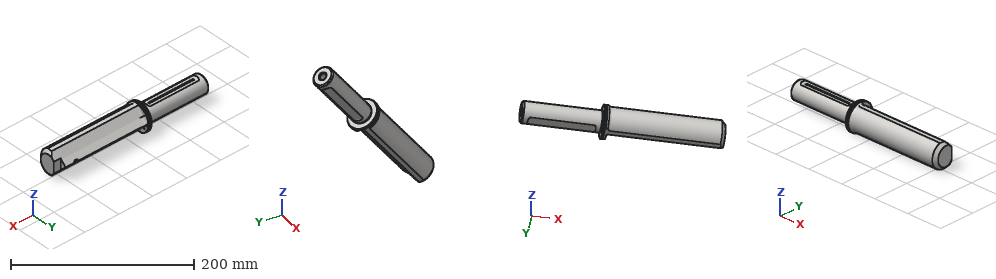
import cadquery as cq
import math

TOTAL_LENGTH = 225.0
RELIEF_START = 88.0
COLLAR_START = 89.8
COLLAR_GROOVE_START = 91.8
COLLAR_GROOVE_END = 92.5
COLLAR_END = 94.7
END_STEP_START = 215.0

SHANK_DIAMETER = 25.0
SHANK_RADIUS = SHANK_DIAMETER / 2
RELIEF_DEPTH = 0.5
COLLAR_DIAMETER = 38.0
COLLAR_RADIUS = COLLAR_DIAMETER / 2
COLLAR_CHAMFER = 0.7
COLLAR_GROOVE_DEPTH = 0.5
BODY_DIAMETER = 35.0
BODY_RADIUS = BODY_DIAMETER / 2
SHANK_CHAMFER = 1.5
BODY_CHAMFER = 4.5
SHOULDER_FILLET = 4.0

SHANK_ACROSS_FLATS = 22.3
SHANK_FLAT_HEIGHT = SHANK_ACROSS_FLATS / 2
SHANK_FLAT_START = 7.2
SHANK_FLAT_END = 82.8
SHANK_FLAT_RUNOUT = 3.4

BORE_RADIUS = 3.8
BORE_DEPTH = 77.6
BORE_CHAMFER = 1.24
SLOT_START = 12.2
SLOT_END = BORE_DEPTH
SLOT_WIDTH = 2.0

PASSAGE_RADIUS = 1.8
OUTLET_X = 201.0
OUTLET_ANGLE = 33.0

BODY_ACROSS_FLATS = 33.3
BODY_FLAT_HEIGHT = BODY_ACROSS_FLATS / 2
WEDGE_CREST_Y = 1.01
WEDGE_KNEE_Y = 9.7
WEDGE_KNEE_HEIGHT = 6.8
WEDGE_EDGE_Y = 17.3
WEDGE_START = 95.2
UPPER_FACE_FILLET = 2.0
LOWER_FACE_FILLET = 3.8

END_STEP_Y = 8.5

CLEARANCE = 22.5
EDGE_OVERRUN = 2.2
DIAGONAL = math.sqrt(0.5)
SHOULDER_HALF_TURN = math.pi / 8


def shoulder_profile(start, floor_height):
    """Open a 45 degree shoulder at the collar edge that blends by an arc into a level floor."""
    corner_x = COLLAR_END + COLLAR_RADIUS - floor_height
    tangent = SHOULDER_FILLET * math.tan(SHOULDER_HALF_TURN)
    arc_start = (corner_x - tangent * DIAGONAL, floor_height + tangent * DIAGONAL)
    arc_end = (corner_x + tangent, floor_height)
    arc_center_height = floor_height + SHOULDER_FILLET
    arc_middle = (
        arc_end[0] - SHOULDER_FILLET * math.sin(SHOULDER_HALF_TURN),
        arc_center_height - SHOULDER_FILLET * math.cos(SHOULDER_HALF_TURN),
    )
    return start.lineTo(*arc_start).threePointArc(arc_middle, arc_end)


def turned_blank():
    """Shank, relief, grooved collar and body as one revolved outline."""
    relief_radius = SHANK_RADIUS - RELIEF_DEPTH
    collar_edge = COLLAR_RADIUS - COLLAR_CHAMFER
    groove_radius = COLLAR_RADIUS - COLLAR_GROOVE_DEPTH
    outline = (
        cq.Workplane("XY")
        .lineTo(0, SHANK_RADIUS - SHANK_CHAMFER)
        .lineTo(SHANK_CHAMFER, SHANK_RADIUS)
        .lineTo(RELIEF_START, SHANK_RADIUS)
        .lineTo(RELIEF_START + RELIEF_DEPTH, relief_radius)
        .lineTo(COLLAR_START, relief_radius)
        .lineTo(COLLAR_START, collar_edge)
        .lineTo(COLLAR_START + COLLAR_CHAMFER, COLLAR_RADIUS)
        .lineTo(COLLAR_GROOVE_START, COLLAR_RADIUS)
        .lineTo(COLLAR_GROOVE_START, groove_radius)
        .lineTo(COLLAR_GROOVE_END, groove_radius)
        .lineTo(COLLAR_GROOVE_END, COLLAR_RADIUS)
        .lineTo(COLLAR_END, COLLAR_RADIUS)
    )
    outline = (
        shoulder_profile(outline, BODY_RADIUS)
        .lineTo(TOTAL_LENGTH - BODY_CHAMFER, BODY_RADIUS)
        .lineTo(TOTAL_LENGTH, BODY_RADIUS - BODY_CHAMFER)
        .lineTo(TOTAL_LENGTH, 0)
        .close()
    )
    return outline.revolve(360, (0, 0, 0), (1, 0, 0))


def shank_flat():
    """Cutter for the upper shank flat, with arc run-outs at both ends."""
    rise = SHANK_RADIUS - SHANK_FLAT_HEIGHT
    run = math.sqrt(SHANK_FLAT_RUNOUT**2 - (SHANK_FLAT_RUNOUT - rise) ** 2)
    return (
        cq.Workplane("XZ")
        .moveTo(SHANK_FLAT_START, SHANK_RADIUS)
        .radiusArc((SHANK_FLAT_START + run, SHANK_FLAT_HEIGHT), -SHANK_FLAT_RUNOUT)
        .lineTo(SHANK_FLAT_END - run, SHANK_FLAT_HEIGHT)
        .radiusArc((SHANK_FLAT_END, SHANK_RADIUS), -SHANK_FLAT_RUNOUT)
        .close()
        .extrude(SHANK_RADIUS, both=True)
    )


def bore():
    """Blind axial bore with a chamfered rim."""
    hole = cq.Workplane("YZ").circle(BORE_RADIUS).extrude(BORE_DEPTH)
    rim = cq.Solid.makeCone(
        BORE_RADIUS + BORE_CHAMFER, BORE_RADIUS, BORE_CHAMFER, dir=cq.Vector(1, 0, 0)
    )
    return hole.union(rim)


def bore_slot():
    """Opening from the upper flat down into the bore."""
    return cq.Workplane("XY").box(
        SLOT_END - SLOT_START, SLOT_WIDTH, SHANK_RADIUS, centered=(False, True, False)
    ).translate((SLOT_START, 0, 0))


def top_flat():
    """Cutter for the upper flat, blended into the collar by its own shoulder."""
    start = cq.Workplane("XZ").moveTo(COLLAR_END, COLLAR_RADIUS)
    return (
        shoulder_profile(start, BODY_FLAT_HEIGHT)
        .lineTo(TOTAL_LENGTH, BODY_FLAT_HEIGHT)
        .lineTo(TOTAL_LENGTH, COLLAR_RADIUS)
        .close()
        .extrude(COLLAR_RADIUS, both=True)
    )


def bottom_flat():
    """Cutter for the lower flat, which also trims the collar behind its groove."""
    return cq.Workplane("XY").box(
        TOTAL_LENGTH, 2 * COLLAR_RADIUS, CLEARANCE, centered=(False, True, False)
    ).translate((COLLAR_GROOVE_START, 0, -BODY_FLAT_HEIGHT - CLEARANCE))


def wedge_face(start, end, fillet, overrun=0):
    """Cutter above the slope from start to end, both (y, z), with a filleted wall at the collar.

    The cutter carries on past the end point by the overrun.
    """
    drop = start[1] - end[1]
    run = end[0] - start[0]
    width = math.hypot(run, drop)
    along_slope = (0, run / width, -drop / width)
    plane = cq.Plane(
        origin=(WEDGE_START, *start),
        xDir=(1, 0, 0),
        normal=tuple(-component for component in along_slope),
    )
    return (
        cq.Workplane(plane)
        .moveTo(0, CLEARANCE)
        .lineTo(0, fillet)
        .radiusArc((fillet, 0), -fillet)
        .lineTo(TOTAL_LENGTH - WEDGE_START, 0)
        .lineTo(TOTAL_LENGTH - WEDGE_START, CLEARANCE)
        .close()
        .extrude(-(width + overrun))
    )


def wedge_sides():
    """Cutters for the upper and lower halves of the wedge, mirrored about mid-height."""
    crest = (WEDGE_CREST_Y, BODY_FLAT_HEIGHT)
    knee = (WEDGE_KNEE_Y, WEDGE_KNEE_HEIGHT)
    edge = (WEDGE_EDGE_Y, 0)
    upper = wedge_face(crest, knee, UPPER_FACE_FILLET)
    side = upper.union(wedge_face(knee, edge, LOWER_FACE_FILLET, EDGE_OVERRUN))
    return side, side.mirror("XY")


def end_step():
    """Block that shortens the wedge at the tip."""
    return cq.Workplane("XY").box(
        CLEARANCE, CLEARANCE, 2 * CLEARANCE, centered=(False, False, True)
    ).translate((END_STEP_START, END_STEP_Y, 0))


def passage():
    """Axial hole from the bore to the turning point, then a slanted hole out through the wedge edge."""
    slope = math.radians(OUTLET_ANGLE)
    turn_x = OUTLET_X - WEDGE_EDGE_Y / math.tan(slope)
    axial = cq.Workplane("YZ").circle(PASSAGE_RADIUS).extrude(turn_x)
    direction = cq.Vector(math.cos(slope), math.sin(slope), 0)
    start = cq.Vector(turn_x, 0, 0) - direction * PASSAGE_RADIUS
    length = WEDGE_EDGE_Y / math.sin(slope) + CLEARANCE
    slanted = cq.Solid.makeCylinder(PASSAGE_RADIUS, length, start, direction)
    return axial.union(slanted)


result = turned_blank()
cutters = [shank_flat(), shank_flat().mirror("XY"), bore(), bore_slot()]
cutters += [top_flat(), bottom_flat(), *wedge_sides(), end_step(), passage()]
for cutter in cutters:
    result = result.cut(cutter)